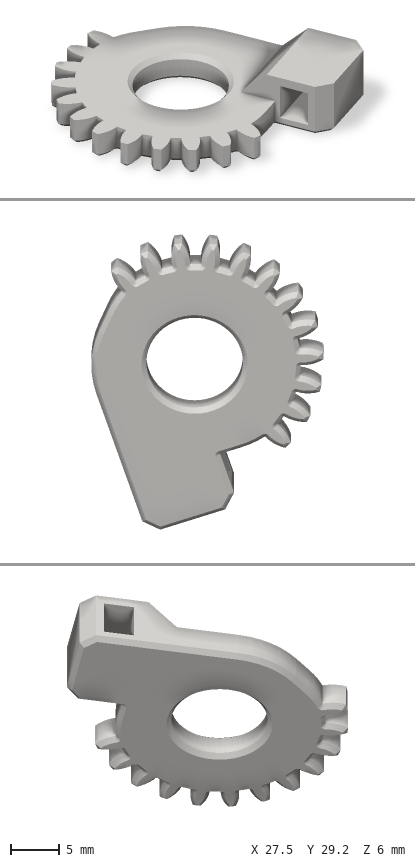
import cadquery as cq
import math

plate_thickness = 3.0
total_height = 6.0
full_ring_teeth = 23
tooth_count = 12
root_radius = 10.98
tip_radius = 13.35
flank_mid_radius = 12.12
root_half_width = 0.93
flank_mid_half_width = 0.88
tip_half_width = 0.4
edge_chamfer = 0.5

bore_radius = 5.0

arm_angle = math.radians(24)
arm_near_side = 0.73
arm_far_side = 10.75
arm_end = 16.5
arm_corner = 1.45
ramp_start = 6.55
ramp_end = ramp_start + total_height - plate_thickness

slot_start = 11.05
slot_length = 3.18
slot_bottom = 1.1
slot_height = 3.88

shoulder_radius = 9.67
shoulder_low_y = 2.92
shoulder_center_v = arm_far_side - shoulder_radius
shoulder_offset = shoulder_radius + shoulder_center_v * math.sin(2 * arm_angle)


def from_arm(u, v):
    """Turn arm coordinates into X, Y."""
    x = u * math.cos(arm_angle) - v * math.sin(arm_angle)
    y = u * math.sin(arm_angle) + v * math.cos(arm_angle)
    return x, y


def tooth_point(radius, half_width, center_angle, side):
    """Point on a tooth flank; side is -1 or 1 for the clockwise or anticlockwise flank."""
    angle = center_angle + side * math.asin(half_width / radius)
    return radius * math.cos(angle), radius * math.sin(angle)


def circle_point(radius, angle):
    """Point at the given radius and angle about the bore axis."""
    return radius * math.cos(angle), radius * math.sin(angle)


def add_tooth(outline, angle):
    """Extend the outline anticlockwise over one tooth with bulging flanks and a round tip."""
    flank_mid = flank_mid_radius, flank_mid_half_width
    tip = tip_radius, tip_half_width
    outline = outline.threePointArc(tooth_point(*flank_mid, angle, -1), tooth_point(*tip, angle, -1))
    outline = outline.threePointArc(circle_point(tip_radius, angle), tooth_point(*tip, angle, 1))
    root_end = tooth_point(root_radius, root_half_width, angle, 1)
    return outline.threePointArc(tooth_point(*flank_mid, angle, 1), root_end)


def plate_outline(level):
    """Closed outline at height level of teeth, shoulders and arm, drawn anticlockwise from the -X tooth."""
    pitch = 2 * math.pi / full_ring_teeth
    first_angle = -math.pi / 2 - pitch * (tooth_count - 1) / 2
    start = tooth_point(root_radius, root_half_width, first_angle, -1)

    outline = cq.Workplane("XY").workplane(offset=level).moveTo(*start)
    for index in range(tooth_count):
        angle = first_angle + index * pitch
        if index > 0:
            gap_end = tooth_point(root_radius, root_half_width, angle, -1)
            outline = outline.threePointArc(circle_point(root_radius, angle - pitch / 2), gap_end)
        outline = add_tooth(outline, angle)

    low_v = (shoulder_low_y - shoulder_offset * math.sin(arm_angle)) / math.cos(arm_angle)
    low_x, low_y = from_arm(shoulder_offset, low_v)
    outline = outline.radiusArc((low_x, low_y), -shoulder_radius)
    outline = outline.lineTo(*from_arm(shoulder_offset, arm_near_side))

    arm_points = [
        (arm_end - arm_corner, arm_near_side),
        (arm_end, arm_near_side + arm_corner),
        (arm_end, arm_far_side - arm_corner),
        (arm_end - arm_corner, arm_far_side),
        (0, arm_far_side),
    ]
    for u, v in arm_points:
        outline = outline.lineTo(*from_arm(u, v))

    center_x, center_y = from_arm(0, shoulder_center_v)
    round_end_x = center_x - shoulder_radius * math.cos(arm_angle)
    round_end_y = center_y + shoulder_radius * math.sin(arm_angle)
    outline = outline.radiusArc((round_end_x, round_end_y), -shoulder_radius)
    outline = outline.lineTo(-low_x, low_y)
    return outline.radiusArc(start, -shoulder_radius).close()


def arm_plane():
    """Vertical plane through the bore axis: local x runs along u, local y along Z, normal along -v."""
    return cq.Plane(
        origin=(0, 0, 0),
        xDir=(math.cos(arm_angle), math.sin(arm_angle), 0),
        normal=(math.sin(arm_angle), -math.cos(arm_angle), 0),
    )


def raised_arm():
    """Raised part of the arm: ramp, flat top and the two cut corners."""
    profile = [
        (ramp_start, plate_thickness),
        (ramp_end, total_height),
        (arm_end, total_height),
        (arm_end, plate_thickness),
    ]
    block = (
        cq.Workplane(arm_plane())
        .workplane(offset=-arm_far_side)
        .polyline(profile)
        .close()
        .extrude(arm_far_side - arm_near_side)
    )
    return block.edges("|Z").chamfer(arm_corner)


def arm_slot():
    """Rectangular slot through the arm from side to side."""
    return (
        cq.Workplane(arm_plane())
        .workplane(offset=-arm_far_side)
        .moveTo(slot_start + slot_length / 2, slot_bottom + slot_height / 2)
        .rect(slot_length, slot_height)
        .extrude(arm_far_side - arm_near_side)
    )


def bore():
    """Bore with a 45 degree chamfer at both ends, as a solid of revolution."""
    mouth_radius = bore_radius + edge_chamfer
    profile = [
        (0, 0),
        (mouth_radius, 0),
        (bore_radius, edge_chamfer),
        (bore_radius, plate_thickness - edge_chamfer),
        (mouth_radius, plate_thickness),
        (0, plate_thickness),
    ]
    return cq.Workplane("XZ").polyline(profile).close().revolve(360, (0, 0, 0), (0, 1, 0))


def plate():
    """Plate with its bottom outer edge bevelled at 45 degrees."""
    straight = plate_outline(edge_chamfer).extrude(plate_thickness - edge_chamfer)
    bevel = plate_outline(edge_chamfer).extrude(-edge_chamfer, taper=45)
    return straight.union(bevel)


result = plate().union(raised_arm()).cut(bore()).cut(arm_slot())